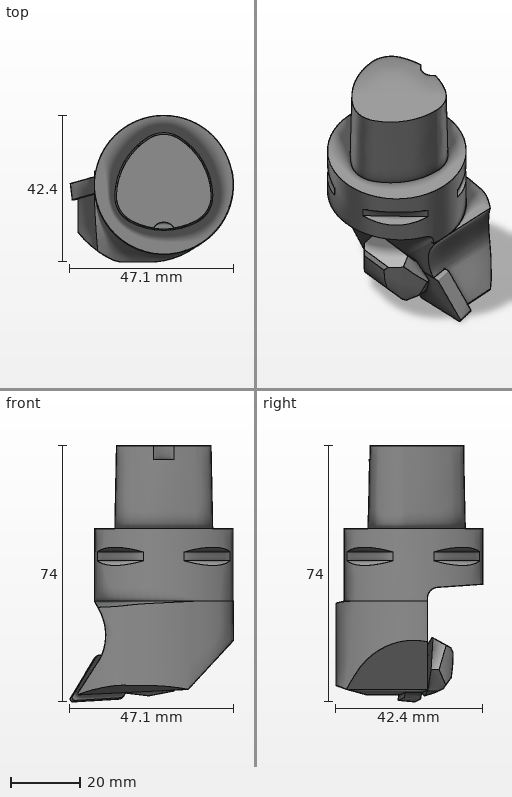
import cadquery as cq
import math


flange_diameter = 40.0
flange_radius = flange_diameter / 2
flange_bottom = -20.9
shank_height = 24.0
lobe_reach = 15.0
flank_reach = 13.2
lobe_radius = 8.5
shank_taper = 1.15
key_radius = 3.4
key_offset = 14.2
key_depth = 4.1

slot_middle = -8.0
slot_floor_width = 2.5
slot_mouth_width = 5.25
slot_floor_reach = 17.7
slot_count = 4

head_bottom = -51.8
head_radius = 20.1
head_front = -22.35
front_flat_left = -11.1
front_flat_right = -4.9
left_wall_start = (-25.0, -13.4)
left_wall_middle = (-19.25, -19.0)
left_wall_end = (-15.25, -21.45)
front_arc_middle = (1.8, -21.5)
front_arc_end = (7.9, -18.8)
head_blend_x = 10.6
ledge_slope = 14.7
margin = 44.4

pocket_wall_y = 4.1
pocket_roof_inner = -17.2
pocket_roof_outer = -16.05
pocket_fillet = 3.1

groove_entry = (-21.1, -18.9)
groove_top = (-18.8, -23.15)
groove_middle = (-16.8, -30.35)
groove_low = (-18.4, -37.6)
heel_outer = (-24.8, -47.4)
heel_inner = (-24.65, -47.95)

toe = (7.0, -46.4)
bevel_top_z = -32.35
end_relief_start = (-24.95, -13.8, -47.9)
end_relief_crest = (-7.4, -22.6, -45.15)
end_relief_end = (7.0, -19.25, -46.4)

clamp_side_outline = [
    (0, -33.45), (4.1, -33.45), (5.4, -31.4), (10.8, -34.3), (11.5, -35.8), (11.3, -39.95),
    (10.95, -42.9), (8.6, -46.2), (6.15, -47.35), (3.2, -48.25), (0, -48.25),
]
clamp_face_outline = [
    (-16.3, -39.2), (-14.8, -44.4), (-11.1, -47.4), (-4.3, -48.25),
    (2.95, -46.85), (5.9, -40.7), (2.95, -31.4), (-10.35, -31.4),
]
clamp_plan_outline = [
    (-16.3, 0), (-16.3, 3.3), (-14.05, 5.9), (-11.1, 8.9), (-6.65, 11.5), (1.5, 11.5), (5.9, 7.4), (5.9, 0),
]

insert_side = 15.5
insert_angle = 55.0
insert_thickness = 4.7
nose_radius = 0.8
insert_corner = (-27.7, 0.15, -50.1)
rake_slope_x = 0.12
rake_slope_z = 0.098
insert_edge_rise = 0.06

rake_plane = cq.Plane(
    origin=insert_corner,
    xDir=(1, rake_slope_x + rake_slope_z * insert_edge_rise, insert_edge_rise),
    normal=(-rake_slope_x, 1, -rake_slope_z),
)


def polar(radius, degrees):
    angle = math.radians(degrees)
    return (radius * math.cos(angle), radius * math.sin(angle))


def make_shank():
    """Tapered three-lobed shank: tangent lobe and flank arcs, with one lobe on +Y."""
    lobe_centre = lobe_reach - lobe_radius
    flank_radius = (
        (lobe_centre**2 - lobe_centre * flank_reach + flank_reach**2 - lobe_radius**2)
        / (2 * flank_reach - lobe_centre - 2 * lobe_radius)
    )
    flank_centre = flank_radius - flank_reach
    half_flank = math.asin(lobe_centre * math.sin(math.radians(60)) / (flank_radius - lobe_radius))
    seam_x = flank_radius * math.sin(half_flank)
    seam_y = flank_centre - flank_radius * math.cos(half_flank)
    seam_reach = math.hypot(seam_x, seam_y)
    seam_angle = math.degrees(math.atan2(seam_x, -seam_y))

    profile = cq.Workplane("XY").moveTo(*polar(seam_reach, -90 - seam_angle))
    for flank_direction in (-90, 30, 150):
        lobe_direction = flank_direction + 60
        next_flank = flank_direction + 120
        profile = profile.threePointArc(
            polar(flank_reach, flank_direction), polar(seam_reach, flank_direction + seam_angle)
        )
        profile = profile.threePointArc(
            polar(lobe_reach, lobe_direction), polar(seam_reach, next_flank - seam_angle)
        )
    shank = profile.close().extrude(shank_height, taper=shank_taper)
    key_notch = (
        cq.Workplane("XY", origin=(0, -key_offset, shank_height - key_depth))
        .circle(key_radius)
        .extrude(2 * key_depth)
    )
    return shank.cut(key_notch)


def make_gripper_slot(direction):
    """Straight slot across the flange, wider at its mouth than at its floor."""
    half_floor = slot_floor_width / 2
    half_mouth = slot_mouth_width / 2
    return (
        cq.Workplane("XZ")
        .moveTo(slot_floor_reach, slot_middle - half_floor)
        .lineTo(flange_radius, slot_middle - half_mouth)
        .lineTo(flange_radius, slot_middle + half_mouth)
        .lineTo(slot_floor_reach, slot_middle + half_floor)
        .close()
        .extrude(flange_radius, both=True)
        .rotate((0, 0, 0), (0, 0, 1), direction)
    )


def make_flange():
    flange = cq.Workplane("XY").circle(flange_radius).extrude(flange_bottom)
    for index in range(slot_count):
        flange = flange.cut(make_gripper_slot((index + 0.5) * 360 / slot_count))
    return flange


def make_head_blank():
    """Cylinder below the flange, joined to the bulging front-left wall."""
    core = cq.Workplane("XY", origin=(0, 0, flange_bottom))
    core = core.circle(head_radius).extrude(head_bottom - flange_bottom)
    blend_y = -math.sqrt(head_radius**2 - head_blend_x**2)
    bulge = (
        cq.Workplane("XY")
        .moveTo(left_wall_start[0], pocket_wall_y)
        .lineTo(*left_wall_start)
        .threePointArc(left_wall_middle, left_wall_end)
        .tangentArcPoint((front_flat_left, head_front), relative=False)
        .lineTo(front_flat_right, head_front)
        .threePointArc(front_arc_middle, front_arc_end)
        .lineTo(head_blend_x, blend_y)
        .lineTo(head_blend_x, pocket_wall_y)
        .close()
        .extrude(head_bottom)
    )
    ledge_drop = (margin - flange_radius) * math.tan(math.radians(ledge_slope))
    under_ledge = (
        cq.Workplane("XZ")
        .moveTo(0, flange_bottom)
        .lineTo(flange_radius, flange_bottom)
        .lineTo(margin, flange_bottom - ledge_drop)
        .lineTo(margin, head_bottom)
        .lineTo(0, head_bottom)
        .close()
        .revolve(360, (0, 0, 0), (0, 1, 0))
    )
    return core.union(bulge.intersect(under_ledge))


def make_side_profile():
    """Prism along Y that bounds the head: groove, end face and bevel."""
    bevel_slope = (bevel_top_z - toe[1]) / (flange_radius - toe[0])
    return (
        cq.Workplane("XZ")
        .moveTo(-margin, 0)
        .lineTo(-margin, groove_entry[1])
        .lineTo(*groove_entry)
        .lineTo(*groove_top)
        .threePointArc(groove_middle, groove_low)
        .lineTo(*heel_outer)
        .lineTo(*heel_inner)
        .lineTo(*toe)
        .lineTo(margin, toe[1] + bevel_slope * (margin - toe[0]))
        .lineTo(margin, 0)
        .close()
        .extrude(margin, both=True)
    )


def make_end_relief():
    """Everything below the sloping relief face at the front of the end."""
    start = cq.Vector(*end_relief_start)
    along = cq.Vector(*end_relief_end) - start
    across = cq.Vector(*end_relief_crest) - start
    plane = cq.Plane(origin=end_relief_start, xDir=along, normal=along.cross(across))
    return cq.Workplane(plane).rect(2 * margin, 2 * margin).extrude(margin)


def make_chip_pocket():
    """Space behind the head, with a filleted corner under its sloping roof."""
    return (
        cq.Workplane("YZ")
        .moveTo(pocket_wall_y, pocket_roof_inner)
        .lineTo(flange_radius, pocket_roof_outer)
        .lineTo(margin, pocket_roof_outer)
        .lineTo(margin, head_bottom)
        .lineTo(pocket_wall_y, head_bottom)
        .close()
        .extrude(margin, both=True)
        .edges(cq.selectors.NearestToPointSelector((0, pocket_wall_y, pocket_roof_inner)))
        .fillet(pocket_fillet)
    )


def make_rake_clearance():
    """Everything on the open side of the rake face, below the flange."""
    open_side = cq.Workplane(rake_plane).rect(4 * margin, 4 * margin).extrude(margin)
    below_flange = (
        cq.Workplane("XY", origin=(0, 0, flange_bottom)).rect(4 * margin, 4 * margin).extrude(-margin)
    )
    return open_side.intersect(below_flange)


def make_clamp():
    """Faceted clamp that presses on the rake face of the insert."""
    side_prism = cq.Workplane("YZ").polyline(clamp_side_outline).close().extrude(margin, both=True)
    face_prism = cq.Workplane("XZ").polyline(clamp_face_outline).close().extrude(margin, both=True)
    plan_prism = cq.Workplane("XY").polyline(clamp_plan_outline).close().extrude(-2 * margin)
    return side_prism.intersect(face_prism).intersect(plan_prism)


def make_insert_plate():
    """Rhombic plate whose upper face lies in the rake plane."""
    far_x, far_y = polar(insert_side, insert_angle)
    return (
        cq.Workplane(rake_plane)
        .polyline([(0, 0), (insert_side, 0), (insert_side + far_x, -far_y), (far_x, -far_y)])
        .close()
        .extrude(-insert_thickness)
    )


insert_plate = make_insert_plate()
insert = insert_plate.edges(cq.selectors.ParallelDirSelector(rake_plane.zDir)).fillet(nose_radius)

head = (
    make_head_blank()
    .cut(make_end_relief())
    .cut(make_rake_clearance())
)
clamp = make_clamp().intersect(make_rake_clearance())
holder = (
    make_flange()
    .union(head)
    .intersect(make_side_profile())
    .cut(make_chip_pocket())
    .union(make_shank())
    .union(clamp)
    .cut(insert_plate)
)

result = cq.Compound.makeCompound([holder.val(), insert.val()])